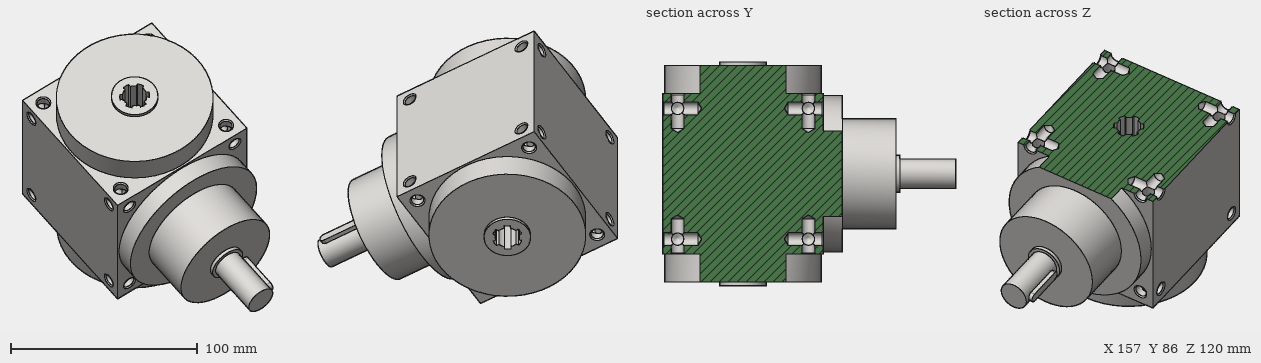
import cadquery as cq
import math

overall_length = 157.0
overall_height = 120.0
box_side = 86.0

flange_diameter = 84.0
cover_height = 15.0
hub_diameter = 25.0

input_flange_end = 96.2
input_neck_end = 125.0
input_collar_end = 127.0
input_neck_diameter = 59.0
input_collar_diameter = 20.0
input_shaft_diameter = 16.0

spline_minor_diameter = 13.0
spline_major_diameter = 16.0
spline_slot_width = 3.5
spline_slot_count = 6

screw_hole_diameter = 6.6
screw_mouth_diameter = 8.0
screw_mouth_depth = (screw_mouth_diameter - screw_hole_diameter) / 2
screw_hole_depth = 18.8
screw_drill_angle = 118.0
screw_spacing = 70.0

key_length = 25.0
key_width = 5.0
key_height = 5.0
key_top = 10.0
key_start = 129.5

half_box = box_side / 2
box_center = cq.Vector(half_box, 0, 0)


def input_cylinder(diameter, end):
    """Cylinder on the input axis, from the box centre out to X = end."""
    return cq.Workplane("YZ", origin=box_center).circle(diameter / 2).extrude(end - half_box)


def output_cylinder(diameter, height):
    """Cylinder on the vertical output axis, centred in the box."""
    return cq.Workplane("XY", origin=box_center).circle(diameter / 2).extrude(height / 2, both=True)


def splined_bore():
    """Through bore with straight-sided slots, clipped to the major diameter."""
    bore = output_cylinder(spline_minor_diameter, overall_height)
    for index in range(spline_slot_count // 2):
        angle = index * 360 / spline_slot_count
        slot_pair = (
            cq.Workplane("XY", origin=box_center)
            .transformed(rotate=(0, 0, angle))
            .rect(spline_major_diameter, spline_slot_width)
            .extrude(overall_height / 2, both=True)
        )
        bore = bore.union(slot_pair)
    return bore.intersect(output_cylinder(spline_major_diameter, overall_height))


def screw_hole():
    """Countersunk blind hole with a drill point, opening at Z = 0 and running down."""
    hole_radius = screw_hole_diameter / 2
    point_height = hole_radius / math.tan(math.radians(screw_drill_angle / 2))
    return (
        cq.Workplane("XZ")
        .lineTo(screw_mouth_diameter / 2, 0)
        .lineTo(hole_radius, -screw_mouth_depth)
        .lineTo(hole_radius, -screw_hole_depth)
        .lineTo(0, -screw_hole_depth - point_height)
        .close()
        .revolve(360, (0, 0, 0), (0, 1, 0))
        .val()
    )


def screw_holes(normal, across):
    """Four screw holes on the box face with the given outward normal."""
    face = cq.Plane(origin=box_center + normal * half_box, xDir=across, normal=normal)
    pattern = cq.Workplane(face).rarray(screw_spacing, screw_spacing, 2, 2)
    return pattern.eachpoint(screw_hole(), useLocalCoordinates=True, combine=False).vals()


def make_key():
    """Round-ended shaft key, lying on the +Y side of the input shaft."""
    key_middle = cq.Vector(key_start + key_length / 2, key_top, 0)
    face = cq.Plane(origin=key_middle, xDir=(1, 0, 0), normal=(0, 1, 0))
    return cq.Workplane(face).slot2D(key_length, key_width).extrude(-key_height)


def make_gearbox():
    """Box, covers, output hub and stepped input side, with all holes and the keyway."""
    body = cq.Workplane("XY", origin=box_center).box(box_side, box_side, box_side)
    body = body.union(output_cylinder(flange_diameter, box_side + 2 * cover_height))
    body = body.union(output_cylinder(hub_diameter, overall_height))
    body = body.union(input_cylinder(flange_diameter, input_flange_end))
    body = body.union(input_cylinder(input_neck_diameter, input_neck_end))
    body = body.union(input_cylinder(input_collar_diameter, input_collar_end))
    body = body.union(input_cylinder(input_shaft_diameter, overall_length))
    body = body.cut(splined_bore())

    x_axis, y_axis, z_axis = cq.Vector(1, 0, 0), cq.Vector(0, 1, 0), cq.Vector(0, 0, 1)
    for normal, across in ((x_axis, y_axis), (y_axis, z_axis), (z_axis, x_axis)):
        for side in (1, -1):
            for hole in screw_holes(normal * side, across):
                body = body.cut(cq.Workplane(hole))

    return body.cut(make_key())


gearbox = make_gearbox()
key = make_key()
result = cq.Compound.makeCompound([gearbox.solids().val(), key.val()])